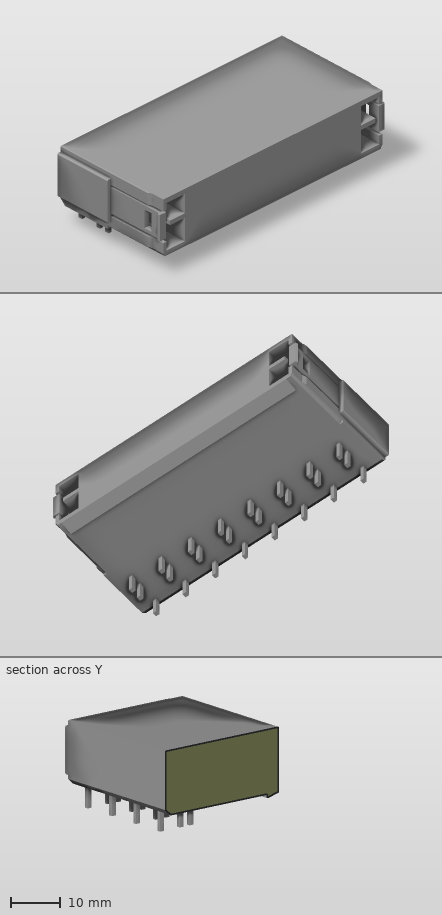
import cadquery as cq

length = 29.25
body_half_width = 30.9
top_z = 17.7
bottom_z = 4.2
side_wall = 1.3
pocket_wall = 1.2
top_edge_fillet = 0.2
nose_chamfer_run = 1.3
nose_chamfer_rise = 1.2

pad_length = 14.55
pad_half_width = 31.9
pad_bottom_z = 6.25
pad_top_z = 16.4
pad_edge_fillet = 0.3

taper_start_x = 25.1
taper_end_x = 26.1
thinning = 0.4

cove_start_x = 13.5
cove_radius = 0.8

slot_bottom_z = 7.45
slot_top_z = 14.9
latch_bottom_z = 8.2
latch_top_z = 14.35
latch_end_x = 29.15
hook_start_x = 27.7
hook_apex_x = 28.6
hook_apex_y = 31.55
hook_end_y = 31.3
hook_sag = 0.2
window_start_x = 24.15
window_end_x = 26.3
window_bottom_z = 9.0
window_top_z = 13.3

pocket_depth = 5.1
rib_bottom_z = 10.9
rib_thickness = 1.1
rib_depth = 4.1

lip_start_x = 26.3
lip_drop = 0.75
lip_half_width = 29.0

first_pin_row_x = 1.85
pin_grid = 2.55
pin_row_steps = (0, 2, 3)
pins_per_row = 8
pin_pitch = 3 * pin_grid
pin_size_x = 1.0
pin_size_y = 0.8
pin_anchor = 0.3

inner_half_width = body_half_width - side_wall
pocket_floor_y = inner_half_width - pocket_depth


def box(x_range, y_range, z_range):
    """Box spanning the given (low, high) ranges."""
    sizes = [high - low for low, high in (x_range, y_range, z_range)]
    corner = (x_range[0], y_range[0], z_range[0])
    return cq.Workplane("XY").box(*sizes, centered=False).translate(corner)


def centred_box(x_range, half_width, z_range):
    """Box symmetric about Y = 0."""
    return box(x_range, (-half_width, half_width), z_range)


def on_both_sides(shape):
    """The shape together with its mirror image across Y = 0."""
    return shape.union(shape.mirror("XZ"))


def outer_body():
    profile = (
        cq.Workplane("XZ")
        .moveTo(nose_chamfer_run, bottom_z)
        .lineTo(length, bottom_z)
        .lineTo(length, top_z)
        .lineTo(0, top_z)
        .lineTo(0, bottom_z + nose_chamfer_rise)
        .close()
    )
    body = profile.extrude(body_half_width, both=True)
    body = body.edges("|X and >Z").fillet(top_edge_fillet)
    pads = centred_box((0, pad_length), pad_half_width, (pad_bottom_z, pad_top_z))
    return body.union(pads.edges("|X").fillet(pad_edge_fillet))


def cove_cutter():
    """Round bar that hollows out the lower edge on the +Y side."""
    return (
        cq.Workplane("YZ", origin=(cove_start_x, 0, 0))
        .center(body_half_width, bottom_z)
        .circle(cove_radius)
        .extrude(length - cove_start_x)
    )


def thinning_cutter():
    """Waste outside the thinned +Y side."""
    return (
        cq.Workplane("XY")
        .moveTo(taper_start_x, body_half_width)
        .lineTo(taper_end_x, body_half_width - thinning)
        .lineTo(length, body_half_width - thinning)
        .lineTo(length, body_half_width)
        .close()
        .extrude(top_z)
    )


def latch():
    """Latch on the +Y side: a flat arm with a flared hook and a window."""
    arc_middle = (
        (hook_start_x + hook_apex_x) / 2,
        (body_half_width + hook_apex_y) / 2 - hook_sag,
    )
    arm = (
        cq.Workplane("XY", origin=(0, 0, latch_bottom_z))
        .moveTo(pad_length, inner_half_width)
        .lineTo(pad_length, body_half_width)
        .lineTo(hook_start_x, body_half_width)
        .threePointArc(arc_middle, (hook_apex_x, hook_apex_y))
        .lineTo(latch_end_x, hook_end_y)
        .lineTo(latch_end_x, inner_half_width)
        .close()
        .extrude(latch_top_z - latch_bottom_z)
    )
    window = box(
        (window_start_x, window_end_x),
        (inner_half_width, body_half_width),
        (window_bottom_z, window_top_z),
    )
    return arm.cut(window)


def lip():
    return (
        cq.Workplane("XZ")
        .moveTo(lip_start_x, bottom_z)
        .lineTo(lip_start_x, bottom_z - lip_drop)
        .lineTo(length, bottom_z)
        .close()
        .extrude(lip_half_width, both=True)
    )


def pins():
    centres = [
        (first_pin_row_x + step * pin_grid, (i - (pins_per_row - 1) / 2) * pin_pitch)
        for step in pin_row_steps
        for i in range(pins_per_row)
    ]
    pin_top = bottom_z + pin_anchor
    return (
        cq.Workplane("XY")
        .pushPoints(centres)
        .rect(pin_size_x, pin_size_y)
        .extrude(pin_top)
    )


def latch_pocket():
    """Space behind the latch and the slot through the side wall, on the +Y side."""
    pocket = box(
        (pad_length, length),
        (pocket_floor_y, inner_half_width),
        (bottom_z + pocket_wall, top_z - pocket_wall),
    )
    slot = box(
        (pad_length, length),
        (inner_half_width, body_half_width),
        (slot_bottom_z, slot_top_z),
    )
    return pocket.union(slot)


def pocket_rib():
    return box(
        (pad_length, length),
        (pocket_floor_y, pocket_floor_y + rib_depth),
        (rib_bottom_z, rib_bottom_z + rib_thickness),
    )


side_cuts = (
    thinning_cutter(),
    cove_cutter(),
    latch_pocket(),
)

result = outer_body()
for cutter in side_cuts:
    result = result.cut(on_both_sides(cutter))
for addition in (pocket_rib(), latch()):
    result = result.union(on_both_sides(addition))
result = result.union(lip()).union(pins())